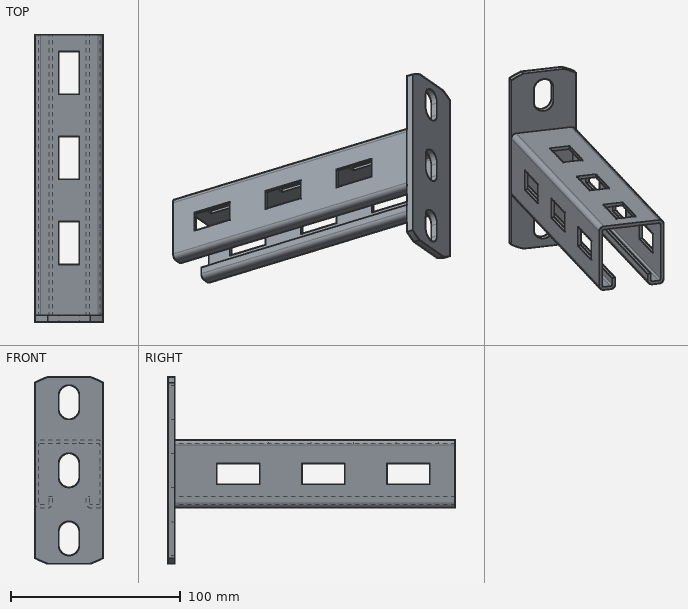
import cadquery as cq

total_length = 169.0
arm_width = 40.0
plate_height = 110.0
plate_thickness = 4.0

wall = 2.0
outer_bend_radius = 3.0
inner_bend_radius = outer_bend_radius - wall
mouth_width = 20.0
return_height = 7.0
edge_reach = wall / 4
arm_centre_z = -2.0

window_length = 25.0
window_width = 12.0
window_count = 3
window_pitch = 2 * window_length
top_window_margin = 10.0
side_window_margin = 15.0

plate_flat_width = 25.0
plate_corner_drop = 3.4
plate_corner_bulge = 0.2
slot_width = 12.0
slot_height = 20.0
slot_count = 3
slot_pitch = arm_width

arm_length = total_length - plate_thickness


def window_centres(margin):
    """Y positions of a row of windows, counted from the free end of the arm."""
    first = total_length - margin - window_length / 2
    return [first - i * window_pitch for i in range(window_count)]


def bar_along_arm(width, height, bottom, bend_radius=0):
    """Bar over the length of the arm, its long edges rounded if a radius is given."""
    centre = (0, plate_thickness + arm_length / 2, bottom + height / 2)
    bar = cq.Workplane("XY").box(width, arm_length, height).translate(centre)
    if bend_radius > 0:
        bar = bar.edges("|Y").fillet(bend_radius)
    return bar


def round_fold(arm, x, z, radius):
    """Round the one long edge of the arm that runs through (x, z)."""
    fold = cq.selectors.BoxSelector(
        (x - edge_reach, 0, z - edge_reach), (x + edge_reach, total_length, z + edge_reach)
    )
    return arm.edges("|Y").edges(fold).fillet(radius)


def make_arm():
    """Square channel open below, with returned lips and windows through its walls."""
    bottom = arm_centre_z - arm_width / 2
    arm = bar_along_arm(arm_width, arm_width, bottom, outer_bend_radius)

    bore_width = arm_width - 2 * wall
    bore = bar_along_arm(bore_width, bore_width, bottom + wall, inner_bend_radius)
    lip_back = mouth_width / 2 + wall
    lip_block = bar_along_arm(2 * lip_back, return_height, bottom)
    arm = arm.cut(bore.cut(lip_block))
    arm = arm.cut(bar_along_arm(mouth_width, return_height, bottom))
    for side in (-1, 1):
        arm = round_fold(arm, side * mouth_width / 2, bottom, outer_bend_radius)
        arm = round_fold(arm, side * lip_back, bottom + wall, inner_bend_radius)

    vertical_window = cq.Workplane("XY").box(window_width, window_length, 2 * arm_width)
    for y in window_centres(top_window_margin):
        arm = arm.cut(vertical_window.translate((0, y, arm_centre_z)))
    cross_window = cq.Workplane("XY").box(2 * arm_width, window_length, window_width)
    for y in window_centres(side_window_margin):
        arm = arm.cut(cross_window.translate((0, y, arm_centre_z)))
    return arm


def make_plate():
    """Upright end plate with eased corners and a column of slots."""
    half_width = arm_width / 2
    half_height = plate_height / 2
    half_flat = plate_flat_width / 2
    shoulder = half_height - plate_corner_drop
    arc_x = (half_width + half_flat) / 2
    arc_z = (half_height + shoulder) / 2 + plate_corner_bulge
    plate = (
        cq.Workplane("XZ")
        .moveTo(-half_width, -shoulder)
        .lineTo(-half_width, shoulder)
        .threePointArc((-arc_x, arc_z), (-half_flat, half_height))
        .lineTo(half_flat, half_height)
        .threePointArc((arc_x, arc_z), (half_width, shoulder))
        .lineTo(half_width, -shoulder)
        .threePointArc((arc_x, -arc_z), (half_flat, -half_height))
        .lineTo(-half_flat, -half_height)
        .threePointArc((-arc_x, -arc_z), (-half_width, -shoulder))
        .close()
        .extrude(-plate_thickness)
    )
    slots = (
        cq.Workplane("XZ")
        .rarray(1.7, slot_pitch, 1, slot_count)
        .slot2D(slot_height, slot_width, 90)
        .extrude(-plate_thickness)
    )
    return plate.cut(slots)


arm = make_arm()
plate = make_plate()

result = cq.Compound.makeCompound([arm.val(), plate.val()])